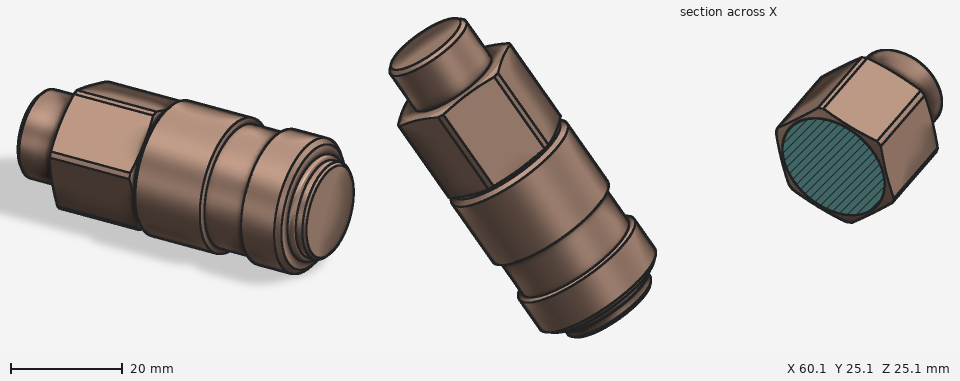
import cadquery as cq
import math

length = 60.1
hex_start = 8.9
hex_end = 26.1
sleeve_start = 26.25
sleeve_end = 40.45
collar_start = 49.0
collar_end = 56.7
ring_end = 58.2

stub_diameter = 16.5
neck_diameter = 20.85
sleeve_diameter = 25.1
groove_diameter = 23.0
tip_diameter = 18.0
ring_diameter = 19.8
tip_end_diameter = 17.0

stub_chamfer = 0.8
sleeve_bevel_length = 0.9
sleeve_bevel_depth = 1.0
groove_wall_length = 0.35
tip_bevel_length = 0.55

hex_sides = 6
across_flats = 22.0
corner_diameter = 24.75
hex_front_diameter = 21.9
hex_rear_diameter = 21.4
hex_bevel_angle = 15.0
hex_turn = 16.5


def make_turned_body():
    """Stub, neck, sleeve, grooved waist, collar, round ring and tip as one revolved profile."""
    stub_r = stub_diameter / 2
    neck_r = neck_diameter / 2
    sleeve_r = sleeve_diameter / 2
    groove_r = groove_diameter / 2
    tip_r = tip_diameter / 2
    bevel_r = sleeve_r - sleeve_bevel_depth
    ring_r = ring_diameter / 2
    ring_middle = (collar_end + ring_end) / 2
    return (
        cq.Workplane("XY")
        .moveTo(0, 0)
        .lineTo(0, stub_r - stub_chamfer)
        .lineTo(stub_chamfer, stub_r)
        .lineTo(hex_start, stub_r)
        .lineTo(hex_start, neck_r)
        .lineTo(sleeve_start, neck_r)
        .lineTo(sleeve_start, bevel_r)
        .lineTo(sleeve_start + sleeve_bevel_length, sleeve_r)
        .lineTo(sleeve_end, sleeve_r)
        .lineTo(sleeve_end + groove_wall_length, groove_r)
        .lineTo(collar_start - groove_wall_length, groove_r)
        .lineTo(collar_start, sleeve_r)
        .lineTo(collar_end - sleeve_bevel_length, sleeve_r)
        .lineTo(collar_end, bevel_r)
        .lineTo(collar_end, tip_r)
        .threePointArc((ring_middle, ring_r), (ring_end, tip_r))
        .lineTo(length - tip_bevel_length, tip_r)
        .lineTo(length, tip_end_diameter / 2)
        .lineTo(length, 0)
        .close()
        .revolve(360, (0, 0, 0), (1, 0, 0))
    )


def make_hexagon():
    """Hexagon with rounded-off corners and conical bevels on both end faces."""
    prism = (
        cq.Workplane("YZ", origin=(hex_start, 0, 0))
        .polygon(hex_sides, across_flats / math.cos(math.pi / hex_sides))
        .extrude(hex_end - hex_start)
        .rotate((0, 0, 0), (1, 0, 0), -hex_turn)
    )
    corner_r = corner_diameter / 2
    front_r = hex_front_diameter / 2
    rear_r = hex_rear_diameter / 2
    bevel_slope = math.tan(math.radians(hex_bevel_angle))
    envelope = (
        cq.Workplane("XY")
        .moveTo(hex_start, 0)
        .lineTo(hex_start, front_r)
        .lineTo(hex_start + (corner_r - front_r) * bevel_slope, corner_r)
        .lineTo(hex_end - (corner_r - rear_r) * bevel_slope, corner_r)
        .lineTo(hex_end, rear_r)
        .lineTo(hex_end, 0)
        .close()
        .revolve(360, (0, 0, 0), (1, 0, 0))
    )
    return prism.intersect(envelope)


result = make_turned_body().union(make_hexagon())